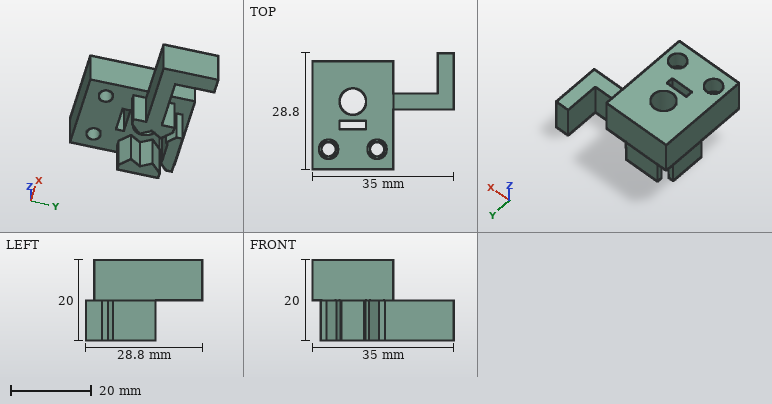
import cadquery as cq

block_width = 20.0
block_length = 26.8
block_height = 10.0

insert_height = 10.0
profile_center_x = block_width / 2
profile_center_y = block_length - block_width / 2
insert_outer = 8.0
insert_shoulder = 6.5
insert_inner = 4.0
insert_half_width = 5.25
insert_directions = (0, 90, 180)

nut_corner_diameter = 11.2

center_hole_diameter = 6.5
window_width = center_hole_diameter
window_depth = 2.0
window_center_y = 11.0
screw_hole_diameter = 3.5
screw_head_diameter = 4.8
screw_head_depth = block_height / 2
screw_edge_distance_x = 4.0
screw_edge_distance_y = 5.0

arm_thickness = 4.0
arm_end_x = 35.0
arm_end_y = 28.8

block_top = insert_height + block_height


def box_between(x_range, y_range, bottom, height):
    """Box spanning the given X and Y ranges, standing on the bottom level."""
    x_size = x_range[1] - x_range[0]
    y_size = y_range[1] - y_range[0]
    box = cq.Workplane("XY").box(x_size, y_size, height, centered=False)
    return box.translate((x_range[0], y_range[0], bottom))


def slot_insert(direction):
    """Tapered insert on one side of the profile, turned to the given angle."""
    inner_half_width = insert_half_width - (insert_shoulder - insert_inner)
    outline = [
        (insert_inner, -inner_half_width),
        (insert_shoulder, -insert_half_width),
        (insert_outer, -insert_half_width),
        (insert_outer, insert_half_width),
        (insert_shoulder, insert_half_width),
        (insert_inner, inner_half_width),
    ]
    insert = cq.Workplane("XY").polyline(outline).close().extrude(insert_height)
    insert = insert.rotate((0, 0, 0), (0, 0, 1), direction)
    return insert.translate((profile_center_x, profile_center_y, 0))


def nut_clearance():
    """Hexagonal prism around the centre hole, as tall as the inserts."""
    hexagon = cq.Workplane("XY").center(profile_center_x, profile_center_y)
    return hexagon.polygon(6, nut_corner_diameter).extrude(insert_height)


def arm():
    """L-shaped arm reaching out from the right insert and turning back."""
    near_y = profile_center_y - arm_thickness / 2
    far_y = profile_center_y + arm_thickness / 2
    start_x = profile_center_x + insert_outer
    reach = box_between((start_x, arm_end_x), (near_y, far_y), 0, insert_height)
    upright_x = (arm_end_x - arm_thickness, arm_end_x)
    upright = box_between(upright_x, (near_y, arm_end_y), 0, insert_height)
    return reach.union(upright)


def block():
    """Main block with its centre hole, window and counterbored screw holes."""
    body = box_between((0, block_width), (0, block_length), insert_height, block_height)
    top_plane = cq.Workplane("XY", origin=(0, 0, block_top))

    center_hole = (
        top_plane.center(profile_center_x, profile_center_y)
        .circle(center_hole_diameter / 2)
        .extrude(-block_height)
    )
    window = (
        top_plane.center(profile_center_x, window_center_y)
        .rect(window_width, window_depth)
        .extrude(-block_height)
    )

    screw_points = [
        (screw_edge_distance_x, screw_edge_distance_y),
        (block_width - screw_edge_distance_x, screw_edge_distance_y),
    ]
    screws = top_plane.pushPoints(screw_points)
    shanks = screws.circle(screw_hole_diameter / 2).extrude(-block_height)
    heads = screws.circle(screw_head_diameter / 2).extrude(-screw_head_depth)

    return body.cut(center_hole).cut(window).cut(shanks).cut(heads)


inserts = slot_insert(insert_directions[0])
for direction in insert_directions[1:]:
    inserts = inserts.union(slot_insert(direction))
inserts = inserts.cut(nut_clearance())

result = block().union(inserts).union(arm())